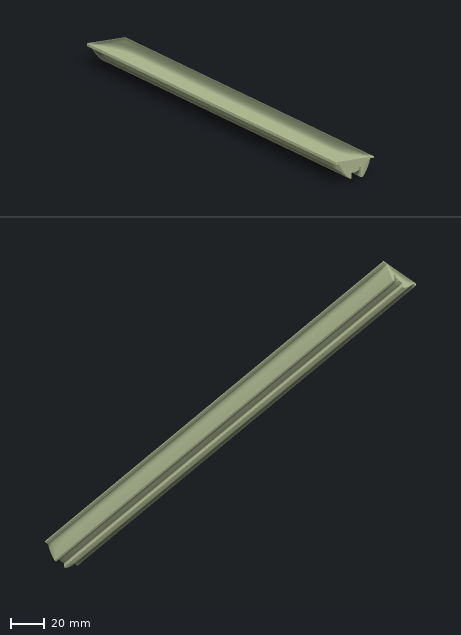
import cadquery as cq

length = 300.0
width = 26.5
height = 11.7

front_lip_thickness = 1.8
back_lip_thickness = 1.0
front_lip_overhang = 2.5
back_lip_overhang = 2.7

slot_back_from_edge = 9.0
slot_width = 6.3
notch_width = 1.0
notch_height = 6.3
notch_step_height = 5.0
slot_front_height = 3.5
slot_flat_width = 2.7

foot_width = 1.2
front_flank_mid_inset = 5.7
front_flank_mid_height = 4.5
back_flank_mid_inset = 4.8
back_flank_mid_height = 4.5

front = -width / 2
back = width / 2
slot_back = back - slot_back_from_edge
slot_front = slot_back - slot_width

section = (
    cq.Workplane("YZ")
    .moveTo(front, height)
    .lineTo(back, height)
    .lineTo(back, height - back_lip_thickness)
    .lineTo(back - back_lip_overhang, height - back_lip_thickness)
    .threePointArc(
        (back - back_flank_mid_inset, back_flank_mid_height),
        (slot_back + foot_width, 0),
    )
    .lineTo(slot_back, 0)
    .lineTo(slot_back, notch_height)
    .lineTo(slot_back - notch_width, notch_height)
    .lineTo(slot_back - notch_width, notch_step_height)
    .lineTo(slot_front + slot_flat_width, slot_front_height)
    .lineTo(slot_front, slot_front_height)
    .lineTo(slot_front, 0)
    .lineTo(slot_front - foot_width, 0)
    .threePointArc(
        (front + front_flank_mid_inset, front_flank_mid_height),
        (front + front_lip_overhang, height - front_lip_thickness),
    )
    .lineTo(front, height - front_lip_thickness)
    .close()
)

result = section.extrude(length / 2, both=True)